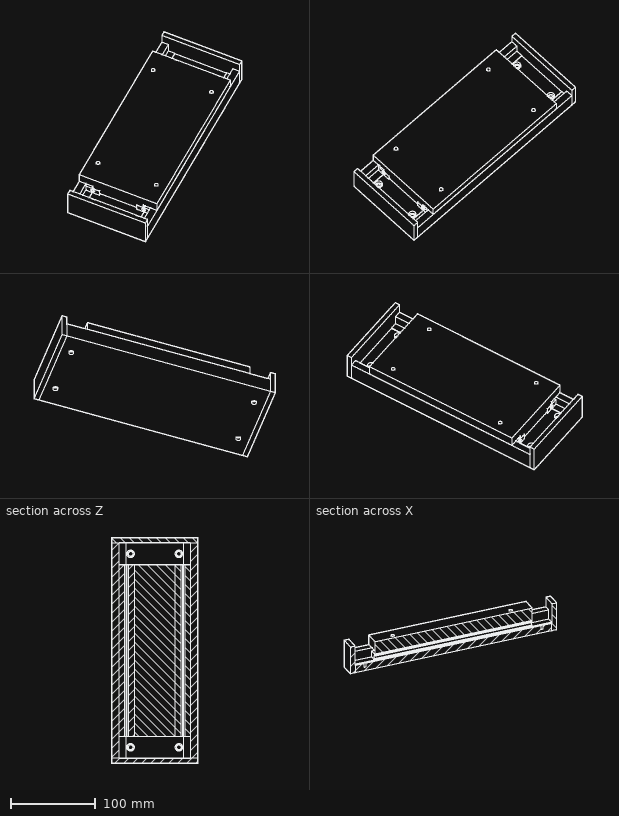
import cadquery as cq


WIDTH = 101.5
LENGTH = 266.7
HEIGHT = 36.5

END_PLATE_THICKNESS = 6.1
BASE_LENGTH = LENGTH - 2 * END_PLATE_THICKNESS
TABLE_LENGTH = 203.2

RAIL_WIDTH = 8.5
RAIL_HEIGHT = 8.0
RAIL_BOTTOM = 11.2
RAIL_TOP = RAIL_BOTTOM + RAIL_HEIGHT
RAIL_GAP = 0.8
RAIL_CHAMFER = 0.8
GROOVE_DEPTH = 2.1
INNER_RAIL_FACE_X = 32.8
OUTER_RAIL_FACE_X = INNER_RAIL_FACE_X + RAIL_GAP

WALL_TOP = 23.5
TROUGH_WIDTH = 2 * (OUTER_RAIL_FACE_X + RAIL_WIDTH)
CHANNEL_WIDTH = 67.5
FLOOR_CLEARANCE = 0.8
FLOOR_Z = RAIL_BOTTOM - FLOOR_CLEARANCE

SLAB_CLEARANCE = 0.3
SLAB_BOTTOM = WALL_TOP + SLAB_CLEARANCE
RAIL_SEAT_WIDTH = 2 * INNER_RAIL_FACE_X
KEEL_WIDTH = RAIL_SEAT_WIDTH - 2 * RAIL_WIDTH
KEEL_BOTTOM = 14.7

MOUNT_SPACING_X = 57.0
MOUNT_SPACING_Y = 228.5
MOUNT_DIAMETER = 5.5
COUNTERBORE_DIAMETER = 8.8
COUNTERBORE_DEPTH = FLOOR_Z / 2

TABLE_HOLE_SPACING_X = 76.3
TABLE_HOLE_SPACING_Y = 2 * TABLE_HOLE_SPACING_X
TABLE_HOLE_DIAMETER = 4.3


def centered_box(width, length, bottom, top):
    """Box centred on X and Y, reaching from bottom to top in Z."""
    return (
        cq.Workplane("XY")
        .workplane(offset=bottom)
        .rect(width, length)
        .extrude(top - bottom)
    )


def four_cylinders(spacing_x, spacing_y, diameter, bottom, top):
    """Upright cylinders at the corners of a centred rectangle, for cutting hole patterns."""
    return (
        cq.Workplane("XY")
        .workplane(offset=bottom)
        .rect(spacing_x, spacing_y, forConstruction=True)
        .vertices()
        .circle(diameter / 2)
        .extrude(top - bottom)
    )


def make_base():
    """Trough with side walls, a seat for each outer rail and mounting holes in the floor."""
    block = centered_box(WIDTH, BASE_LENGTH, 0, WALL_TOP)
    trough = centered_box(TROUGH_WIDTH, BASE_LENGTH, RAIL_BOTTOM, WALL_TOP)
    channel = centered_box(CHANNEL_WIDTH, BASE_LENGTH, FLOOR_Z, WALL_TOP)
    holes = four_cylinders(MOUNT_SPACING_X, MOUNT_SPACING_Y, MOUNT_DIAMETER, 0, FLOOR_Z)
    counterbores = four_cylinders(
        MOUNT_SPACING_X, MOUNT_SPACING_Y, COUNTERBORE_DIAMETER, FLOOR_Z - COUNTERBORE_DEPTH, FLOOR_Z
    )
    return block.cut(trough).cut(channel).cut(holes).cut(counterbores)


def make_table():
    """Slab with a stepped keel whose two lower corners hold the inner rails."""
    slab = centered_box(WIDTH, TABLE_LENGTH, SLAB_BOTTOM, HEIGHT)
    rail_seat = centered_box(RAIL_SEAT_WIDTH, TABLE_LENGTH, RAIL_TOP, SLAB_BOTTOM)
    keel = centered_box(KEEL_WIDTH, TABLE_LENGTH, KEEL_BOTTOM, RAIL_TOP)
    holes = four_cylinders(
        TABLE_HOLE_SPACING_X, TABLE_HOLE_SPACING_Y, TABLE_HOLE_DIAMETER, SLAB_BOTTOM, HEIGHT
    )
    return slab.union(rail_seat).union(keel).cut(holes)


def make_rail(face_x, inward):
    """Rail with its grooved face at face_x; inward (+1 or -1) is the X direction from face to back."""
    back_x = face_x + inward * RAIL_WIDTH
    chamfer_x = face_x + inward * RAIL_CHAMFER
    groove_x = face_x + inward * GROOVE_DEPTH
    middle_z = RAIL_BOTTOM + RAIL_HEIGHT / 2
    return (
        cq.Workplane("XZ")
        .moveTo(back_x, RAIL_BOTTOM)
        .lineTo(chamfer_x, RAIL_BOTTOM)
        .lineTo(face_x, RAIL_BOTTOM + RAIL_CHAMFER)
        .lineTo(face_x, middle_z - GROOVE_DEPTH)
        .lineTo(groove_x, middle_z)
        .lineTo(face_x, middle_z + GROOVE_DEPTH)
        .lineTo(face_x, RAIL_TOP - RAIL_CHAMFER)
        .lineTo(chamfer_x, RAIL_TOP)
        .lineTo(back_x, RAIL_TOP)
        .close()
        .extrude(TABLE_LENGTH / 2, both=True)
    )


def make_end_plate(side):
    """Plate closing one end of the base; side is +1 or -1 along Y."""
    center_y = side * (LENGTH - END_PLATE_THICKNESS) / 2
    return centered_box(WIDTH, END_PLATE_THICKNESS, 0, HEIGHT).translate((0, center_y, 0))


base = make_base()
table = make_table()
inner_rails = [make_rail(side * INNER_RAIL_FACE_X, -side) for side in (-1, 1)]
outer_rails = [make_rail(side * OUTER_RAIL_FACE_X, side) for side in (-1, 1)]
end_plates = [make_end_plate(side) for side in (-1, 1)]

bodies = [base, table, *inner_rails, *outer_rails, *end_plates]
result = cq.Compound.makeCompound([body.val() for body in bodies])